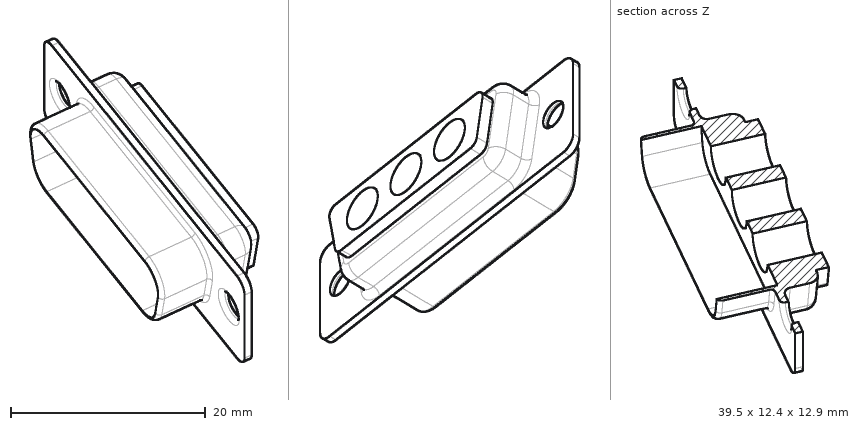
import cadquery as cq
import math

FLANGE_WIDTH = 39.52
FLANGE_HEIGHT = 12.92
FLANGE_THICKNESS = 0.85
FLANGE_CORNER_RADIUS = 1.5

MOUNT_HOLE_OFFSET = 16.65
MOUNT_HOLE_DIAMETER = 3.12
MOUNT_MOUTH_RADIUS = 0.5

END_SLOPE = math.radians(10)

SHELL_DEPTH = 6.0
SHELL_WIDTH = 26.1
SHELL_HEIGHT = 9.2
SHELL_CORNER_RADIUS = 3.1
SHELL_WALL = 0.47
SHELL_RIM_RADIUS = 0.5
SHELL_ROOT_RADIUS = 0.45
CAVITY_DEPTH = 6.52

HOUSING_DEPTH = 4.15
HOUSING_WIDTH = 27.5
HOUSING_HEIGHT = 10.9
HOUSING_CORNER_RADIUS = 2.05
HOUSING_EDGE_RADIUS = 1.25
HOUSING_ROOT_RADIUS = 0.8

INSERT_DEPTH = 1.4
INSERT_WIDTH = 23.95
INSERT_HEIGHT = 7.07
INSERT_CORNER_RADIUS = 1.03

CONTACT_COUNT = 3
CONTACT_PITCH = 6.8
CONTACT_HOLE_DIAMETER = 4.82

HOUSING_BACK = FLANGE_THICKNESS + HOUSING_DEPTH
INSERT_BACK = HOUSING_BACK + INSERT_DEPTH


def d_prism(width, height, corner_radius, y_start, y_end):
    """D-shaped prism along Y, wider at the top; width is measured across the rounded upper corners."""
    half_height = height / 2
    upper_center_x = width / 2 - corner_radius
    sharp_offset = corner_radius * (1 / math.cos(END_SLOPE) + math.tan(END_SLOPE))
    top_x = upper_center_x + sharp_offset
    bottom_x = top_x - height * math.tan(END_SLOPE)
    outline = [
        (-top_x, half_height),
        (top_x, half_height),
        (bottom_x, -half_height),
        (-bottom_x, -half_height),
    ]
    return (
        cq.Workplane("XZ", origin=(0, y_start, 0))
        .polyline(outline)
        .close()
        .extrude(y_start - y_end)
        .edges("|Y")
        .fillet(corner_radius)
    )


def hole(x, diameter, y_start, y_end):
    """Round cutter along Y at height Z = 0."""
    return cq.Workplane("XZ", origin=(x, y_start, 0)).circle(diameter / 2).extrude(y_start - y_end)


def make_flange():
    return (
        cq.Workplane("XZ")
        .rect(FLANGE_WIDTH, FLANGE_HEIGHT)
        .extrude(-FLANGE_THICKNESS)
        .edges("|Y")
        .fillet(FLANGE_CORNER_RADIUS)
    )


def cut_mount_holes(body):
    for x in (-MOUNT_HOLE_OFFSET, MOUNT_HOLE_OFFSET):
        body = body.cut(hole(x, MOUNT_HOLE_DIAMETER, 0, FLANGE_THICKNESS))
        body = body.edges(cq.selectors.NearestToPointSelector((x, 0, 0))).fillet(MOUNT_MOUTH_RADIUS)
    return body


def make_shell():
    shell = d_prism(SHELL_WIDTH, SHELL_HEIGHT, SHELL_CORNER_RADIUS, -SHELL_DEPTH, FLANGE_THICKNESS)
    return shell.faces("<Y").edges().fillet(SHELL_RIM_RADIUS)


def make_cavity():
    return d_prism(
        SHELL_WIDTH - 2 * SHELL_WALL,
        SHELL_HEIGHT - 2 * SHELL_WALL,
        SHELL_CORNER_RADIUS - SHELL_WALL,
        -SHELL_DEPTH,
        CAVITY_DEPTH - SHELL_DEPTH,
    )


def make_housing():
    housing = d_prism(HOUSING_WIDTH, HOUSING_HEIGHT, HOUSING_CORNER_RADIUS, 0, HOUSING_BACK)
    return housing.faces(">Y").edges().fillet(HOUSING_EDGE_RADIUS)


def make_insert():
    return d_prism(INSERT_WIDTH, INSERT_HEIGHT, INSERT_CORNER_RADIUS, 0, INSERT_BACK)


def cut_contact_holes(body):
    for index in range(CONTACT_COUNT):
        x = (index - (CONTACT_COUNT - 1) / 2) * CONTACT_PITCH
        body = body.cut(hole(x, CONTACT_HOLE_DIAMETER, -SHELL_DEPTH, INSERT_BACK))
    return body


def fillet_root(body, face_y, radius):
    """Round the concave seam around the opening of the flange face that lies at face_y."""
    face = body.faces("|Y").faces(cq.selectors.NearestToPointSelector((0, face_y, 0))).val()
    seam = face.innerWires()[0].Edges()
    return body.newObject(seam).fillet(radius)


result = make_flange().union(make_shell()).union(make_housing())
result = fillet_root(result, 0, SHELL_ROOT_RADIUS)
result = fillet_root(result, FLANGE_THICKNESS, HOUSING_ROOT_RADIUS)
result = result.union(make_insert()).cut(make_cavity())
result = cut_contact_holes(result)
result = cut_mount_holes(result)